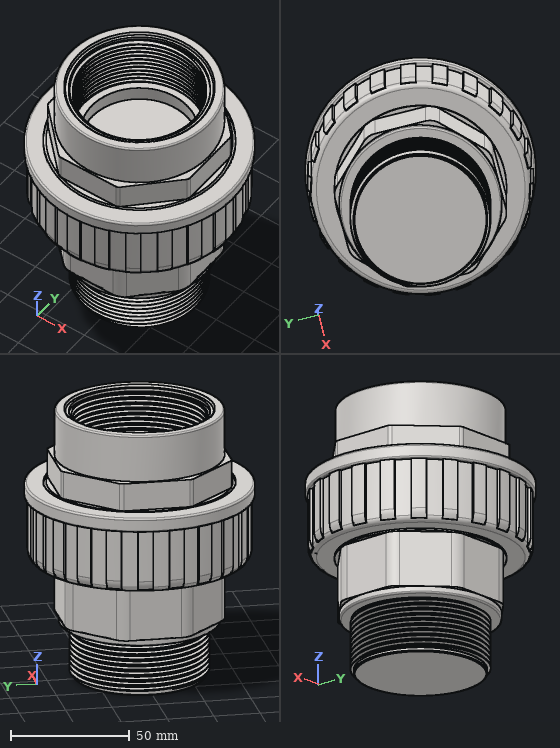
import cadquery as cq
TOTAL_HEIGHT = 118.9
SHOULDER_Z = 24.3
MALE_FLATS_Z = 27.1
COLLAR_Z = 51.6
NUT_BOTTOM_Z = 52.4
NUT_FLANGE_Z = 79.9
NUT_TOP_Z = 86.2
FEMALE_FLATS_TOP_Z = 98.3

THREAD_ROOT_D = 56.7
THREAD_CREST_D = 59.6
THREAD_PITCH = 2.31
THREAD_BASE_WIDTH = 2.1
THREAD_CREST_WIDTH = 0.2
THREAD_EMBED = 0.4

MALE_WIDTH = 69.0
MALE_CORNER_R = 7.7
SHOULDER_FILLET = 0.7
COLLAR_D = 73.0
THREAD_END_CHAMFER = 0.5
THREAD_END_Z = 1.7
MALE_RIDGE_START_Z = 0.67
SPIGOT_TOP_Z = 84.9

NUT_FLANGE_D = 97.9
NUT_FLANGE_FILLET = 0.8
NUT_BODY_D = 93.2
NUT_BODY_FILLET = 2.4
NUT_BORE_D = 81.6
NUT_LIP_HEIGHT = 7.1
RIB_COUNT = 22
FIRST_RIB_ANGLE = -90.0
RIB_OUTER_D = 95.6
RIB_WIDTH = 6.4
RIB_FOOT_R = 7.1
RIB_FOOT_Z = 57.7
RIB_BOTTOM_Z = 53.5

FEMALE_D = 72.2
FEMALE_RIM_FILLET = 0.7
FEMALE_WIDTH = 74.0
FEMALE_CORNER_R = 2.5
FLANGE_CHAMFER = 1.2
MOUTH_D = 64.0
MOUTH_FLOOR_D = 62.8
MOUTH_DEPTH = 1.1
ENTRY_D = 60.0
ENTRY_DEPTH = 2.4
LEDGE_DEPTH = 27.1
BORE_D = 49.8
FEMALE_RIDGE_DROP = 0.6

LIP_TOP_Z = NUT_BOTTOM_Z + NUT_LIP_HEIGHT


def cylinder(diameter, z_low, z_high):
    return cq.Workplane("XY").workplane(offset=z_low).circle(diameter / 2).extrude(z_high - z_low)


def octagon(width, corner_radius, z_low, z_high):
    """Eight-sided prism with flats facing the axes and rounded corners."""
    prism = (
        cq.Workplane("XY")
        .polygon(8, width, circumscribed=True)
        .extrude(z_high - z_low)
        .edges("|Z")
        .fillet(corner_radius)
    )
    return prism.translate((0, 0, z_low))


def thread_ridge(z_low, z_high):
    """Right-hand helical ridge whose centre starts on the -X side at z_low."""
    root_r = THREAD_ROOT_D / 2
    half_crest = THREAD_CREST_WIDTH / 2
    half_base = THREAD_BASE_WIDTH / 2
    helix = cq.Wire.makeHelix(THREAD_PITCH, z_high - z_low, root_r)
    ridge = (
        cq.Workplane("XZ")
        .polyline([
            (root_r - THREAD_EMBED, -half_base),
            (THREAD_CREST_D / 2, -half_crest),
            (THREAD_CREST_D / 2, half_crest),
            (root_r - THREAD_EMBED, half_base),
        ])
        .close()
        .sweep(cq.Workplane(obj=helix), isFrenet=True)
    )
    return ridge.rotate((0, 0, 0), (0, 0, 1), 180).translate((0, 0, z_low))


def threaded_rod(ridge_start_z, z_low, z_high):
    """Threaded cylinder cut off flat at both ends."""
    core = cylinder(THREAD_ROOT_D, z_low - 2 * THREAD_PITCH, z_high + 2 * THREAD_PITCH)
    rod = core.union(thread_ridge(ridge_start_z, z_high + THREAD_PITCH))
    return rod.intersect(cylinder(2 * THREAD_CREST_D, z_low, z_high))


def make_male_end():
    tip = cylinder(THREAD_ROOT_D, 0, THREAD_END_Z).faces("<Z").chamfer(THREAD_END_CHAMFER)
    threaded = threaded_rod(MALE_RIDGE_START_Z, THREAD_END_Z, SHOULDER_Z)
    shoulder = cylinder(MALE_WIDTH, SHOULDER_Z, MALE_FLATS_Z).faces("<Z").edges().fillet(SHOULDER_FILLET)
    grip = octagon(MALE_WIDTH, MALE_CORNER_R, MALE_FLATS_Z, COLLAR_Z)
    collar = cylinder(COLLAR_D, COLLAR_Z, LIP_TOP_Z)
    spigot = cylinder(BORE_D, LIP_TOP_Z, SPIGOT_TOP_Z)
    return shoulder.union(grip).union(collar).union(spigot).union(threaded).union(tip)


def make_rib_bars():
    """Radial bars, spread evenly around the nut, that give the grip ribs their width."""
    height = NUT_FLANGE_Z - RIB_BOTTOM_Z
    bar = (
        cq.Workplane("XY")
        .box(RIB_OUTER_D / 2, RIB_WIDTH, height, centered=(False, True, False))
        .translate((0, 0, RIB_BOTTOM_Z))
    )
    bars = bar.rotate((0, 0, 0), (0, 0, 1), FIRST_RIB_ANGLE)
    for index in range(1, RIB_COUNT):
        bars = bars.union(bar.rotate((0, 0, 0), (0, 0, 1), FIRST_RIB_ANGLE + index * 360 / RIB_COUNT))
    return bars


def make_nut_ribs():
    """Grip ribs: the bars trimmed by a round blank whose lower edge is rounded."""
    blank = (
        cylinder(RIB_OUTER_D, RIB_FOOT_Z - RIB_FOOT_R, NUT_FLANGE_Z)
        .faces("<Z")
        .edges()
        .fillet(RIB_FOOT_R)
    )
    return make_rib_bars().intersect(blank)


def make_nut():
    body = cylinder(NUT_BODY_D, NUT_BOTTOM_Z, NUT_FLANGE_Z).faces("<Z").edges().fillet(NUT_BODY_FILLET)
    flange = cylinder(NUT_FLANGE_D, NUT_FLANGE_Z, NUT_TOP_Z).edges().fillet(NUT_FLANGE_FILLET)
    return (
        body.union(make_nut_ribs())
        .union(flange)
        .cut(cylinder(COLLAR_D, NUT_BOTTOM_Z, LIP_TOP_Z))
        .cut(cylinder(NUT_BORE_D, LIP_TOP_Z, NUT_TOP_Z))
    )


def make_female_end():
    ledge_z = TOTAL_HEIGHT - LEDGE_DEPTH
    entry_z = TOTAL_HEIGHT - ENTRY_DEPTH
    flange = cylinder(NUT_BORE_D, LIP_TOP_Z, NUT_TOP_Z).faces(">Z").chamfer(FLANGE_CHAMFER)
    grip = octagon(FEMALE_WIDTH, FEMALE_CORNER_R, NUT_TOP_Z, FEMALE_FLATS_TOP_Z)
    socket = cylinder(FEMALE_D, FEMALE_FLATS_TOP_Z, TOTAL_HEIGHT).faces(">Z").edges().fillet(FEMALE_RIM_FILLET)
    body = flange.union(grip).union(socket)
    body = body.cut(cylinder(BORE_D, LIP_TOP_Z, TOTAL_HEIGHT))
    body = body.cut(threaded_rod(ledge_z - FEMALE_RIDGE_DROP, ledge_z, entry_z))
    body = body.cut(cylinder(ENTRY_D, entry_z, TOTAL_HEIGHT))
    mouth = (
        cq.Workplane("XY")
        .workplane(offset=TOTAL_HEIGHT - MOUTH_DEPTH)
        .circle(MOUTH_FLOOR_D / 2)
        .workplane(offset=MOUTH_DEPTH)
        .circle(MOUTH_D / 2)
        .loft()
    )
    return body.cut(mouth)


male_end = make_male_end()
nut = make_nut()
female_end = make_female_end()

result = cq.Compound.makeCompound([male_end.val(), nut.val(), female_end.val()])